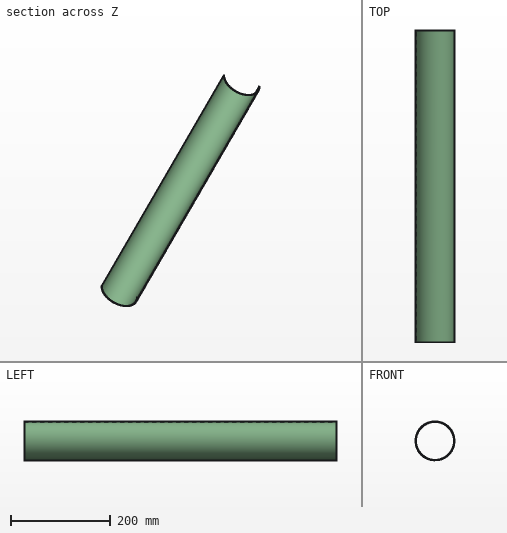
import cadquery as cq

inner_diameter = 76.2
wall_thickness = 1.5
length = 630.0

inner_radius = inner_diameter / 2
outer_radius = inner_radius + wall_thickness


def make_tube():
    """Extrude the ring profile from the +Y end to the -Y end."""
    end_plane = cq.Workplane("XZ", origin=(0, length / 2, 0))
    ring = end_plane.circle(outer_radius).circle(inner_radius)
    return ring.extrude(length)


result = make_tube()